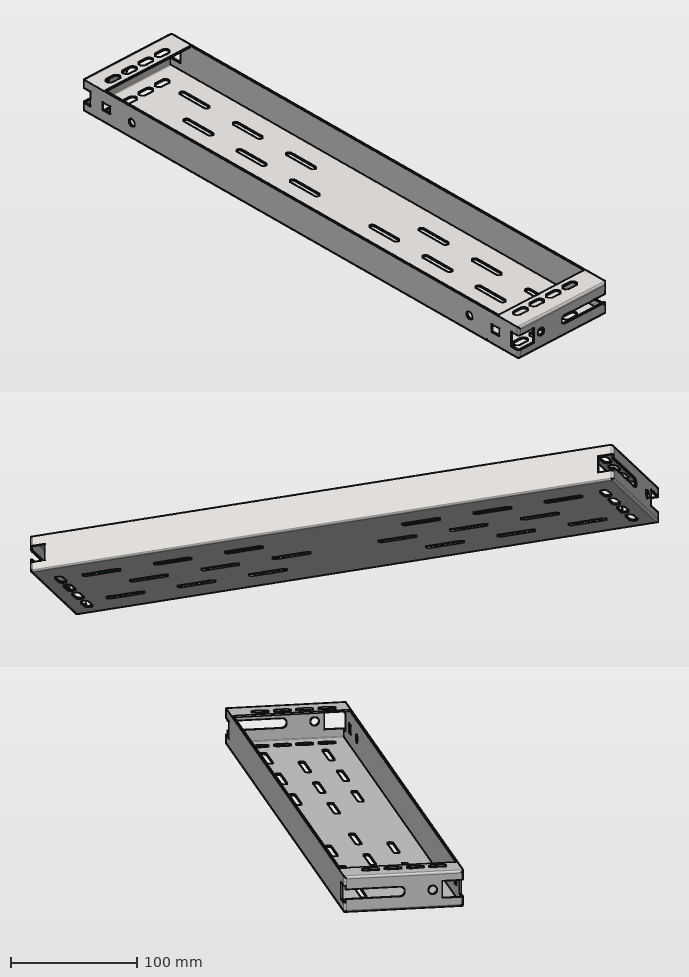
import cadquery as cq

LENGTH = 499.0
WIDTH = 96.5
HEIGHT = 30.0
SHEET = 1.5
INNER_BEND = 0.5
OUTER_BEND = INNER_BEND + SHEET
SIDE_WALL_BEND = 1.5
FLANGE_DEPTH = 24.5

INNER_LENGTH = LENGTH - 2 * SHEET
INNER_WIDTH = WIDTH - 2 * SHEET
MID_HEIGHT = HEIGHT / 2

FLOOR_SLOT_LENGTH = 32.5
FLOOR_SLOT_WIDTH = 5.0
FLOOR_SLOT_PITCH = 61.0
FLOOR_SLOTS_PER_ROW = 3
FLOOR_ROW_SPACING = 25.0
OUTER_ROW_START = 76.0
MIDDLE_ROW_START = OUTER_ROW_START - FLOOR_SLOT_PITCH / 2

FLANGE_SLOT_LENGTH = 14.0
FLANGE_SLOT_WIDTH = 7.0
FLANGE_SLOT_PITCH = 18.0
FLANGE_SLOT_COUNT = 4
FLANGE_SLOT_X = 233.0
FLANGE_SLOT_ROW_Y = -3.5

FRONT_NOTCH_DEPTH = 9.0
BACK_NOTCH_DEPTH = 13.0
CORNER_NOTCH_HEIGHT = 14.0

END_NOTCH_WIDTH = 17.0
END_HOLE_DIAMETER = 7.0
END_HOLE_Y = -23.5
END_SLOT_WIDTH = 8.0
END_SLOT_TIP_Y = -1.0

SIDE_WINDOW_X = 222.5
SIDE_WINDOW_WIDTH = 9.0
SIDE_WINDOW_HEIGHT = 7.5
SIDE_HOLE_X = 193.0
SIDE_HOLE_DIAMETER = 7.0


def box_at(x_size, y_size, z_size, x, y, z):
    """Box centred on the given point."""
    return cq.Workplane("XY").box(x_size, y_size, z_size).translate((x, y, z))


def lengthwise_rod(diameter, y):
    """Rod along X over the full length, at mid height."""
    end_plane = cq.Workplane("YZ", origin=(-LENGTH / 2, y, MID_HEIGHT))
    return end_plane.circle(diameter / 2).extrude(LENGTH)


def folded_tray():
    """Closed-ended tray whose end walls fold inward into top flanges."""
    outer = box_at(LENGTH, WIDTH, HEIGHT, 0, 0, MID_HEIGHT)
    end_fold = outer.edges("|Y").fillet(OUTER_BEND)
    side_fold = outer.edges("|X and <Z").fillet(SIDE_WALL_BEND)
    corner_fold = outer.edges("|Z").fillet(OUTER_BEND)
    outer = end_fold.intersect(side_fold).intersect(corner_fold)

    cavity = box_at(INNER_LENGTH, INNER_WIDTH, HEIGHT - 2 * SHEET, 0, 0, MID_HEIGHT)
    cavity = cavity.edges("|Y").fillet(INNER_BEND)
    opening_length = LENGTH - 2 * FLANGE_DEPTH
    opening = box_at(opening_length, INNER_WIDTH, MID_HEIGHT, 0, 0, HEIGHT - MID_HEIGHT / 2)
    return outer.cut(cavity).cut(opening)


def floor_slots():
    """Three staggered rows of lengthwise slots on each half of the floor."""
    points = []
    for row in (-1, 0, 1):
        row_start = MIDDLE_ROW_START if row == 0 else OUTER_ROW_START
        for index in range(FLOOR_SLOTS_PER_ROW):
            x = row_start + index * FLOOR_SLOT_PITCH
            points += [(side * x, row * FLOOR_ROW_SPACING) for side in (-1, 1)]
    return cq.Workplane("XY").pushPoints(points).slot2D(FLOOR_SLOT_LENGTH, FLOOR_SLOT_WIDTH).extrude(HEIGHT)


def flange_slots():
    """A crosswise row of slots at each end, through flange and floor."""
    first = FLANGE_SLOT_ROW_Y - FLANGE_SLOT_PITCH * (FLANGE_SLOT_COUNT - 1) / 2
    points = [
        (side * FLANGE_SLOT_X, first + index * FLANGE_SLOT_PITCH)
        for side in (-1, 1)
        for index in range(FLANGE_SLOT_COUNT)
    ]
    slots = cq.Workplane("XY").pushPoints(points).slot2D(FLANGE_SLOT_LENGTH, FLANGE_SLOT_WIDTH, 90)
    return slots.extrude(HEIGHT)


def end_openings():
    """Slot, hole and corner notch, running lengthwise through both end walls."""
    slot_length = WIDTH / 2 - END_SLOT_TIP_Y - END_SLOT_WIDTH / 2
    slot = box_at(LENGTH, slot_length, END_SLOT_WIDTH, 0, WIDTH / 2 - slot_length / 2, MID_HEIGHT)
    slot_tip = lengthwise_rod(END_SLOT_WIDTH, WIDTH / 2 - slot_length)
    hole = lengthwise_rod(END_HOLE_DIAMETER, END_HOLE_Y)
    notch_y = -(WIDTH - END_NOTCH_WIDTH) / 2
    notch = box_at(LENGTH, END_NOTCH_WIDTH, CORNER_NOTCH_HEIGHT, 0, notch_y, MID_HEIGHT)
    openings = slot.union(slot_tip).union(hole).union(notch)

    tray_middle = box_at(LENGTH - 2 * OUTER_BEND, WIDTH, HEIGHT, 0, 0, MID_HEIGHT)
    return openings.cut(tray_middle)


def corner_notches():
    """Rectangular notches at both ends of the side walls, deeper in the +Y wall."""
    notches = cq.Workplane("XY")
    wall_middle_y = (WIDTH - SHEET) / 2
    for depth, y in ((FRONT_NOTCH_DEPTH, -wall_middle_y), (BACK_NOTCH_DEPTH, wall_middle_y)):
        for side in (-1, 1):
            x = side * (LENGTH - depth) / 2
            notches = notches.add(box_at(depth, SHEET, CORNER_NOTCH_HEIGHT, x, y, MID_HEIGHT))
    return notches.combine()


def side_openings():
    """A rectangular window and a round hole near each end of the -Y wall."""
    wall = cq.Workplane("XZ", origin=(0, -INNER_WIDTH / 2, MID_HEIGHT))
    windows = wall.pushPoints([(-SIDE_WINDOW_X, 0), (SIDE_WINDOW_X, 0)])
    windows = windows.rect(SIDE_WINDOW_WIDTH, SIDE_WINDOW_HEIGHT).extrude(SHEET)
    holes = wall.pushPoints([(-SIDE_HOLE_X, 0), (SIDE_HOLE_X, 0)])
    return windows.union(holes.circle(SIDE_HOLE_DIAMETER / 2).extrude(SHEET))


result = (
    folded_tray()
    .cut(floor_slots())
    .cut(flange_slots())
    .cut(end_openings())
    .cut(corner_notches())
    .cut(side_openings())
)